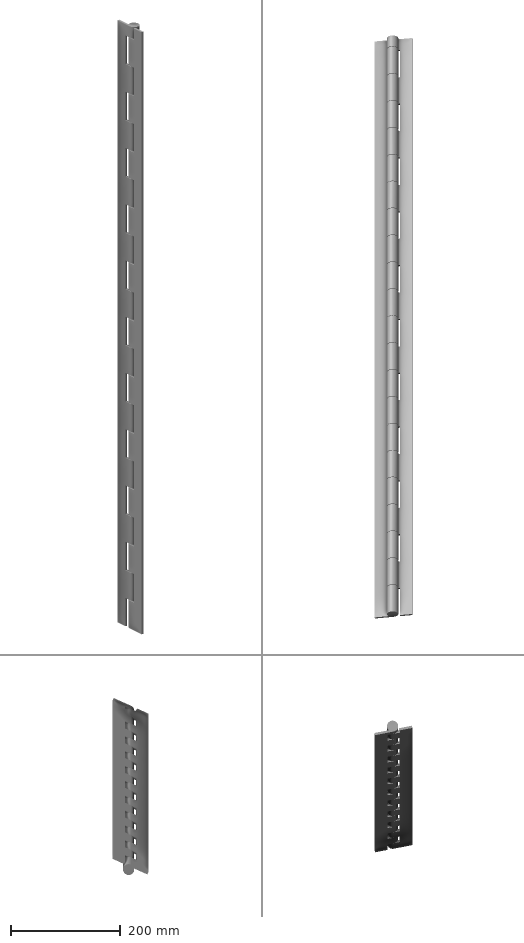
import cadquery as cq

LENGTH = 1200.0
WIDTH = 70.0
BARREL_DIAMETER = 20.0
THICKNESS = 4.2
PIN_DIAMETER = 10.0
NOTCH_REACH = 12.0
END_KNUCKLE = 23.0
FULL_KNUCKLES = 21
KNUCKLE_GAP = 1.0

BARREL_RADIUS = BARREL_DIAMETER / 2
PIN_RADIUS = PIN_DIAMETER / 2
LEAF_WIDTH = WIDTH / 2
KNUCKLE_PITCH = (LENGTH - END_KNUCKLE) / FULL_KNUCKLES

LEFT = -1
RIGHT = 1

joints = [i * KNUCKLE_PITCH for i in range(FULL_KNUCKLES + 1)] + [LENGTH]
spans = list(zip(joints[:-1], joints[1:]))
right_spans = spans[0::2]
left_spans = spans[1::2]


def axis_rod(radius):
    """Full-length cylinder on the pin axis; the axis lies so that the barrel touches Y = 0."""
    return cq.Workplane("XY", origin=(0, BARREL_RADIUS, 0)).circle(radius).extrude(LENGTH)


def plate(side):
    """Flat sheet from the hinge line out to one long edge, with its flush face on Y = 0."""
    return (
        cq.Workplane("XY", origin=(side * LEAF_WIDTH / 2, THICKNESS / 2, 0))
        .rect(LEAF_WIDTH, THICKNESS)
        .extrude(LENGTH)
    )


def knuckle_clearance(span):
    """Block that makes room for one knuckle of the other leaf, with its share of the play."""
    bottom = span[0] - KNUCKLE_GAP / 2
    top = span[1] + KNUCKLE_GAP / 2
    return (
        cq.Workplane("XY", origin=(0, BARREL_RADIUS, bottom))
        .rect(2 * NOTCH_REACH, BARREL_DIAMETER)
        .extrude(top - bottom)
    )


def hinge_leaf(side, other_spans):
    """Plate and full-length barrel, notched for the other leaf's knuckles and bored for the pin."""
    leaf = plate(side).union(axis_rod(BARREL_RADIUS))
    for span in other_spans:
        leaf = leaf.cut(knuckle_clearance(span))
    return leaf.cut(axis_rod(PIN_RADIUS))


left_leaf = hinge_leaf(LEFT, right_spans)
right_leaf = hinge_leaf(RIGHT, left_spans)
pin = axis_rod(PIN_RADIUS)

result = cq.Compound.makeCompound([left_leaf.val(), right_leaf.val(), pin.val()])